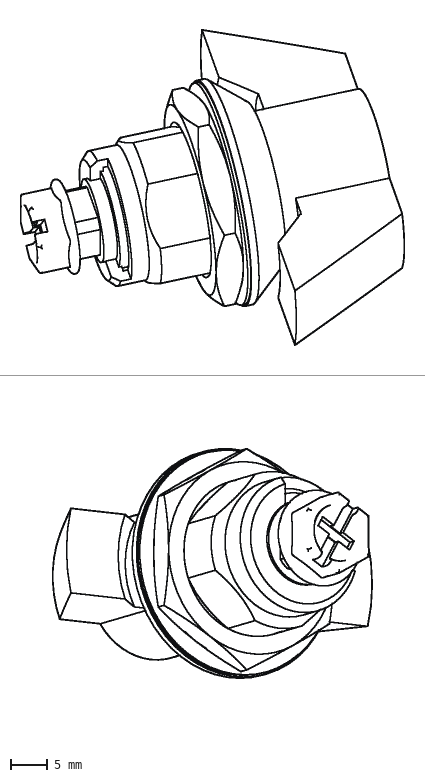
import cadquery as cq
import math


BARREL_DIAMETER = 20.4
BARREL_END = 15.9
WING_THICKNESS = 11.9
WING_BACK_RADIUS = 16.0
WING_TIP_RADIUS = 24.9
WING_TIP_STATION = 18.0
WING_NOTCH_STATION = 13.5
WING_NOTCH_RADIUS = 12.55
WING_INNER_TIP_RADIUS = 16.5
ROTOR_DIAMETER = 14.5
ROTOR_SHOULDER_STATION = 38.45
NECK_DIAMETER = 11.8
NECK_END = 40.35
SQUARE_SIZE = 7.95
SQUARE_CORNER_DIAMETER = 9.7
SQUARE_END = 43.9

FLANGE_BACK_DIAMETER = 23.5
FLANGE_DIAMETER = 32.0
FLANGE_LIP_DIAMETER = 31.5
FLANGE_CONE_END = 20.9
FLANGE_RIM_END = 22.0
SEAT_STATION = 22.45
THREAD_DIAMETER = 22.0
THREAD_FLATS = 20.0
THREAD_NECK_DIAMETER = 19.95
THREAD_END = 33.5
NOSE_DIAMETER = 19.2
NOSE_END = 39.9
NOSE_CHAMFER = 1.05
STOP_FLOOR_STATION = 37.4
STOP_OFFSET = 2.95
HOUSING_BORE_DIAMETER = 16.0
HOUSING_BORE_END = 38.05

NUT_FLATS = 26.95
NUT_END = 26.35
NUT_CHAMFER_ANGLE = 30.0
COUNTERSINK_START = NUT_END - (THREAD_DIAMETER - THREAD_NECK_DIAMETER) / 2

SCREW_FLANGE_DIAMETER = 13.4
SCREW_FLANGE_THICKNESS = 0.8
SCREW_FLANGE_CONE_ANGLE = 19.0
HEAD_FLATS = 10.0
HEAD_CORNER_RADIUS = 0.7
HEAD_EDGE_RADIUS = 0.65
HEAD_END = 49.5
DISH_DIAMETER = 7.9
DISH_RIM_RADIUS = 0.45
DISH_FLOOR_RADIUS = 0.45
DISH_DEPTH = 0.9
SLOT_WIDTH = 1.75
SLOT_DEPTH = 1.75
CROSS_SLOT_WIDTH = 1.5
CROSS_SLOT_LENGTH = 5.9
CROSS_SLOT_DEPTH = 1.95
SLOT_ANGLE = 60.0

HEX_CORNER_RATIO = 1 / math.cos(math.radians(30))


def plane_at(station):
    """Workplane across the axis whose extrusions run toward the screw head."""
    return cq.Workplane("XZ", origin=(0, -station, 0))


def turned(points):
    """Solid of revolution about the axis from an outline of (radius, station) points."""
    outline = [(radius, -station) for radius, station in points]
    return cq.Workplane("XY").polyline(outline).close().revolve(360, (0, 0, 0), (0, 1, 0))


def cylinder(diameter, start, end):
    return plane_at(start).circle(diameter / 2).extrude(end - start)


def hexagon(flats, start, end):
    """Hexagonal prism with corners pointing up and down."""
    profile = plane_at(start).transformed(rotate=(0, 0, 90)).polygon(6, flats * HEX_CORNER_RATIO)
    return profile.extrude(end - start)


def make_wings():
    profile = turned(
        [
            (0, 0),
            (WING_BACK_RADIUS, 0),
            (WING_TIP_RADIUS, WING_TIP_STATION),
            (WING_INNER_TIP_RADIUS, WING_TIP_STATION),
            (WING_NOTCH_RADIUS, WING_NOTCH_STATION),
            (0, WING_NOTCH_STATION),
        ]
    )
    slab = plane_at(0).rect(2 * WING_TIP_RADIUS, WING_THICKNESS).extrude(WING_TIP_STATION)
    return profile.intersect(slab)


def make_knob():
    barrel = cylinder(BARREL_DIAMETER, 0, BARREL_END)
    rotor = cylinder(ROTOR_DIAMETER, BARREL_END, ROTOR_SHOULDER_STATION)
    neck = cylinder(NECK_DIAMETER, ROTOR_SHOULDER_STATION, NECK_END)
    square = plane_at(NECK_END).rect(SQUARE_SIZE, SQUARE_SIZE).extrude(SQUARE_END - NECK_END)
    square = square.intersect(cylinder(SQUARE_CORNER_DIAMETER, NECK_END, SQUARE_END))
    return barrel.union(make_wings()).union(rotor).union(neck).union(square)


def make_flange():
    return turned(
        [
            (0, BARREL_END),
            (FLANGE_BACK_DIAMETER / 2, BARREL_END),
            (FLANGE_DIAMETER / 2, FLANGE_CONE_END),
            (FLANGE_DIAMETER / 2, FLANGE_RIM_END),
            (FLANGE_LIP_DIAMETER / 2, FLANGE_RIM_END),
            (FLANGE_LIP_DIAMETER / 2, SEAT_STATION),
            (0, SEAT_STATION),
        ]
    )


def make_threaded_barrel():
    """Barrel with a neck under the nut, four flats at 45 degrees, a tapered end and a chamfered nose."""
    taper_end = THREAD_END + (THREAD_DIAMETER - NOSE_DIAMETER) / 2
    barrel = turned(
        [
            (0, SEAT_STATION),
            (THREAD_NECK_DIAMETER / 2, SEAT_STATION),
            (THREAD_NECK_DIAMETER / 2, COUNTERSINK_START),
            (THREAD_DIAMETER / 2, NUT_END),
            (THREAD_DIAMETER / 2, THREAD_END),
            (NOSE_DIAMETER / 2, taper_end),
            (NOSE_DIAMETER / 2, NOSE_END - NOSE_CHAMFER),
            (NOSE_DIAMETER / 2 - NOSE_CHAMFER, NOSE_END),
            (0, NOSE_END),
        ]
    )
    flats = plane_at(SEAT_STATION).transformed(rotate=(0, 0, 45)).rect(THREAD_FLATS, THREAD_FLATS)
    return barrel.intersect(flats.extrude(NOSE_END - SEAT_STATION))


def make_stop_cut():
    """Corner cut out of the nose, which leaves a three-quarter collar as the turning stop."""
    corner = plane_at(STOP_FLOOR_STATION).center(-STOP_OFFSET, -STOP_OFFSET)
    square = corner.rect(NOSE_DIAMETER, NOSE_DIAMETER, centered=False)
    return square.extrude(NOSE_END - STOP_FLOOR_STATION)


def make_housing():
    body = make_flange().union(make_threaded_barrel()).cut(make_stop_cut())
    clearance_bore = cylinder(HOUSING_BORE_DIAMETER, BARREL_END, HOUSING_BORE_END)
    rotor_bore = cylinder(ROTOR_DIAMETER, HOUSING_BORE_END, ROTOR_SHOULDER_STATION)
    neck_bore = cylinder(NECK_DIAMETER, ROTOR_SHOULDER_STATION, NOSE_END)
    return body.cut(clearance_bore).cut(rotor_bore).cut(neck_bore)


def make_nut():
    corner_radius = NUT_FLATS / 2 * HEX_CORNER_RATIO
    chamfer = (corner_radius - NUT_FLATS / 2) * math.tan(math.radians(NUT_CHAMFER_ANGLE))
    envelope = turned(
        [
            (0, SEAT_STATION),
            (NUT_FLATS / 2, SEAT_STATION),
            (corner_radius, SEAT_STATION + chamfer),
            (corner_radius, NUT_END - chamfer),
            (NUT_FLATS / 2, NUT_END),
            (0, NUT_END),
        ]
    )
    bore = turned(
        [
            (0, SEAT_STATION),
            (THREAD_NECK_DIAMETER / 2, SEAT_STATION),
            (THREAD_NECK_DIAMETER / 2, COUNTERSINK_START),
            (THREAD_DIAMETER / 2, NUT_END),
            (0, NUT_END),
        ]
    )
    return hexagon(NUT_FLATS, SEAT_STATION, NUT_END).intersect(envelope).cut(bore)


def make_dish():
    """Round recess with a rounded rim and a rounded floor corner."""
    wall = DISH_DIAMETER / 2
    floor = HEAD_END - DISH_DEPTH
    blank = cylinder(DISH_DIAMETER, floor, HEAD_END).faces(">Y").edges().fillet(DISH_FLOOR_RADIUS)
    rim = (
        cq.Workplane("XY")
        .moveTo(0, -HEAD_END)
        .lineTo(wall + DISH_RIM_RADIUS, -HEAD_END)
        .radiusArc((wall, DISH_RIM_RADIUS - HEAD_END), DISH_RIM_RADIUS)
        .lineTo(0, DISH_RIM_RADIUS - HEAD_END)
        .close()
        .revolve(360, (0, 0, 0), (0, 1, 0))
    )
    return blank.union(rim)


def make_slot(length, width, depth):
    slot = plane_at(HEAD_END - depth).transformed(rotate=(0, 0, SLOT_ANGLE))
    return slot.rect(length, width).extrude(depth)


def make_screw_flange():
    """Disc with a fully rounded rim and a shallow cone up to the hexagon."""
    rim_radius = SCREW_FLANGE_THICKNESS / 2
    rim_center = SCREW_FLANGE_DIAMETER / 2 - rim_radius
    middle = SQUARE_END + rim_radius
    slope = math.radians(SCREW_FLANGE_CONE_ANGLE)
    cone_radius = rim_center + rim_radius * math.sin(slope)
    cone_start = middle + rim_radius * math.cos(slope)
    cone_end = cone_start + (cone_radius - HEAD_FLATS / 2) * math.tan(slope)
    return (
        cq.Workplane("XY")
        .moveTo(0, -SQUARE_END)
        .lineTo(rim_center, -SQUARE_END)
        .threePointArc((SCREW_FLANGE_DIAMETER / 2, -middle), (cone_radius, -cone_start))
        .lineTo(HEAD_FLATS / 2, -cone_end)
        .lineTo(0, -cone_end)
        .close()
        .revolve(360, (0, 0, 0), (0, 1, 0))
    )


def make_head():
    """Hexagon with rounded corners and a rounded top edge that is mitred at the corners."""
    start = SQUARE_END + SCREW_FLANGE_THICKNESS / 2
    rounded_corners = hexagon(HEAD_FLATS, start, HEAD_END).edges("|Y").fillet(HEAD_CORNER_RADIUS)
    rounded_top = hexagon(HEAD_FLATS, start, HEAD_END).faces("<Y").edges().fillet(HEAD_EDGE_RADIUS)
    return rounded_top.intersect(rounded_corners)


def make_screw():
    slot = make_slot(SCREW_FLANGE_DIAMETER, SLOT_WIDTH, SLOT_DEPTH)
    cross_slot = make_slot(CROSS_SLOT_WIDTH, CROSS_SLOT_LENGTH, CROSS_SLOT_DEPTH)
    return make_screw_flange().union(make_head()).cut(make_dish()).cut(slot).cut(cross_slot)


knob = make_knob().solids()
housing = make_housing().solids()
nut = make_nut().solids()
screw = make_screw().solids()

result = cq.Compound.makeCompound([knob.val(), housing.val(), nut.val(), screw.val()])